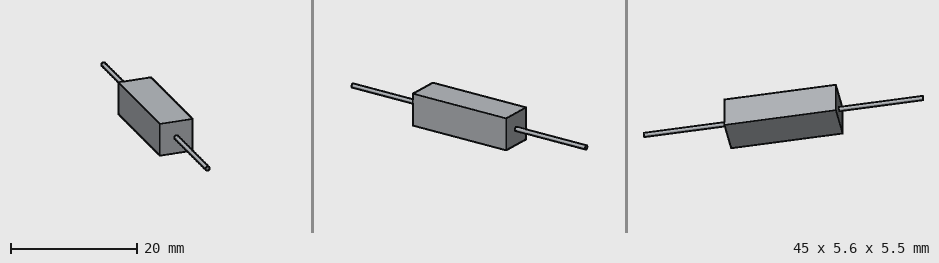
import cadquery as cq

body_length = 18.0
body_width = 5.6
body_height = 5.5

overall_length = 45.0
lead_diameter = 0.7


def make_body():
    return cq.Workplane("XY").box(body_length, body_width, body_height)


def make_leads():
    """One rod through the body forms the lead at each end."""
    return (
        cq.Workplane("YZ")
        .circle(lead_diameter / 2)
        .extrude(overall_length / 2, both=True)
    )


result = make_body().union(make_leads())